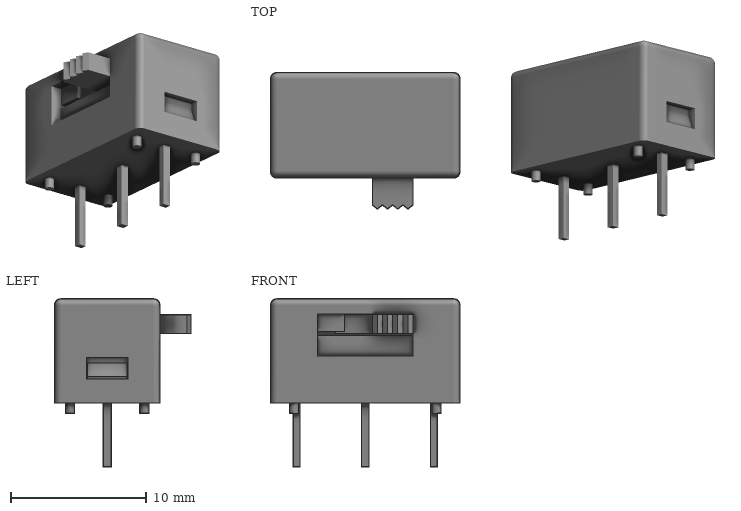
import cadquery as cq


case_length = 14.0
case_width = 7.8
case_height = 7.71
edge_radius = 0.49
front_y = -case_width / 2

window_width = 7.05
window_bottom = 3.5
window_top = 6.58
window_left = -window_width / 2
sill_depth = 0.83
ledge_z = 4.98
pocket_depth = 1.96

stop_width = 1.99
stop_bottom = 5.28
stop_depth = 0.9

slider_left = -2.18
slider_bottom = 5.14
slider_top = 6.54
slider_depth = 1.16
lever_reach = 2.3
lever_width = 3.01
lever_right = window_width / 2
tooth_count = 4
tooth_height = 0.31
tooth_pitch = lever_width / tooth_count

latch_width = 3.05
latch_bottom = 1.79
latch_height = 1.6
latch_pocket_depth = 0.69
catch_clearance = 0.05
catch_depth = 0.3
catch_lip = 0.2
catch_height = 1.19

pin_length = 4.7
pin_pitch = 5.07
pin_thickness = 0.6
outer_pin_width = 0.5
middle_pin_width = 0.56

peg_diameter = 0.69
peg_length = 0.75
peg_x = 5.26
peg_y = 2.75


def box_between(x_range, y_range, z_range):
    """Box spanning the given (low, high) range on each axis."""
    lengths = [high - low for low, high in (x_range, y_range, z_range)]
    corner = (x_range[0], y_range[0], z_range[0])
    return cq.Workplane("XY").box(*lengths, centered=False).translate(corner)


def make_case():
    block = cq.Workplane("XY").box(case_length, case_width, case_height, centered=(True, True, False))
    return block.edges("|Z or >Z").fillet(edge_radius)


def make_window():
    """Shallow recess over the full window, deeper above the inner ledge."""
    x_range = (window_left, -window_left)
    shallow = box_between(x_range, (front_y, front_y + sill_depth), (window_bottom, window_top))
    deep = box_between(x_range, (front_y, front_y + pocket_depth), (ledge_z, window_top))
    return shallow.union(deep)


def make_stop():
    return box_between(
        (window_left, window_left + stop_width),
        (front_y + stop_depth, front_y + pocket_depth),
        (stop_bottom, window_top),
    )


def make_slider():
    return box_between(
        (slider_left, lever_right),
        (front_y + slider_depth, front_y + pocket_depth),
        (slider_bottom, slider_top),
    )


def make_lever():
    """Flat lever with a saw-tooth grip along its free end."""
    lever_left = lever_right - lever_width
    tip_y = front_y - lever_reach
    valley_y = tip_y + tooth_height
    root_y = front_y + slider_depth
    outline = [(lever_right, root_y), (lever_left, root_y), (lever_left, valley_y)]
    for tooth in range(tooth_count):
        tooth_start = lever_left + tooth * tooth_pitch
        outline.append((tooth_start + tooth_pitch / 2, tip_y))
        outline.append((tooth_start + tooth_pitch, valley_y))
    lever = cq.Workplane("XY").polyline(outline).close().extrude(slider_top - slider_bottom)
    return lever.translate((0, 0, slider_bottom))


def make_left_latch_opening():
    """Pocket in the -X wall, less the ramped catch that fills its lower part."""
    wall_x = -case_length / 2
    back_x = wall_x + latch_pocket_depth
    catch_x = wall_x + catch_depth
    pocket = box_between(
        (wall_x, back_x),
        (-latch_width / 2, latch_width / 2),
        (latch_bottom, latch_bottom + latch_height),
    )
    catch_profile = [
        (back_x, latch_bottom),
        (catch_x, latch_bottom),
        (catch_x, latch_bottom + catch_lip),
        (back_x, latch_bottom + catch_height),
    ]
    catch_half_width = latch_width / 2 - catch_clearance
    catch = cq.Workplane("XZ").polyline(catch_profile).close().extrude(catch_half_width, both=True)
    return pocket.cut(catch)


def make_pins():
    pins = cq.Workplane("XY")
    for x, width in ((-pin_pitch, outer_pin_width), (0, middle_pin_width), (pin_pitch, outer_pin_width)):
        pins = pins.union(
            box_between(
                (x - width / 2, x + width / 2),
                (-pin_thickness / 2, pin_thickness / 2),
                (-pin_length, 0),
            )
        )
    return pins


def make_pegs():
    corners = cq.Workplane("XY").rect(2 * peg_x, 2 * peg_y, forConstruction=True).vertices()
    return corners.circle(peg_diameter / 2).extrude(-peg_length)


left_latch_opening = make_left_latch_opening()
right_latch_opening = left_latch_opening.mirror("YZ")

result = make_case().cut(make_window()).cut(left_latch_opening).cut(right_latch_opening)
for feature in (make_stop(), make_slider(), make_lever(), make_pins(), make_pegs()):
    result = result.union(feature)